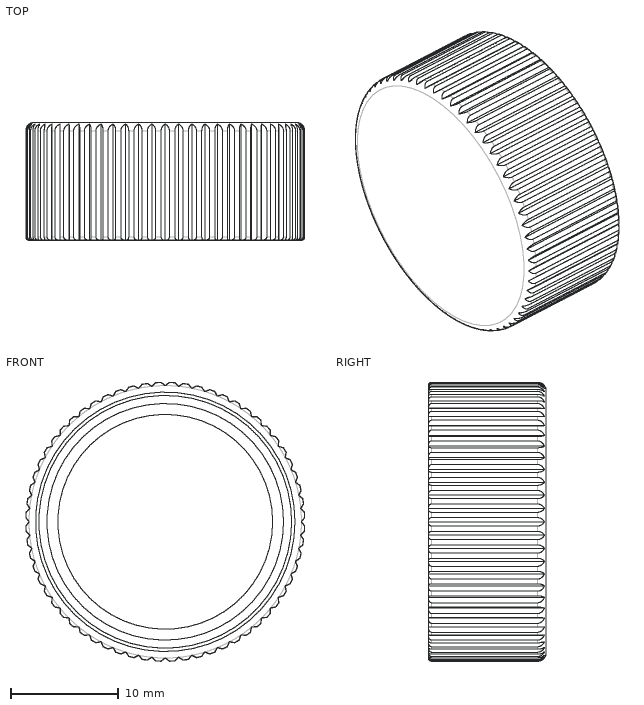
import cadquery as cq
import math

WIDTH = 26.0
HEIGHT = 11.0
TOP_FILLET = 0.8
RIM_FILLET = 0.3

GROOVE_COUNT = 64
GROOVE_HALF_WIDTH = 0.4
GROOVE_DEPTH = 0.3

MOUTH_RADIUS = 11.77
BEAD_RADIUS = 11.02
UNDERCUT_RADIUS = 12.0
RECESS_RADIUS = 10.0
MOUTH_CHAMFER = 0.3

BEAD_START = 2.6
BEAD_END = 6.6
SEAT_DEPTH = 8.5
TOP_THICKNESS = 1.0

MOUTH_Y = -HEIGHT / 2
TOP_Y = HEIGHT / 2

CORNER_DISTANCE = WIDTH / 2
OUTER_RADIUS = math.hypot(CORNER_DISTANCE, GROOVE_HALF_WIDTH)


def rounded_body():
    """Solid cylinder with a large fillet at the top and a small one at the rim."""
    cylinder = cq.Workplane("XZ", origin=(0, TOP_Y, 0)).circle(OUTER_RADIUS).extrude(HEIGHT)
    return cylinder.edges(">Y").fillet(TOP_FILLET).edges("<Y").fillet(RIM_FILLET)


def groove_cutter():
    """One triangular prism on the +X side, running the full height."""
    overshoot = 0.25
    half_width_beyond = GROOVE_HALF_WIDTH * (1 + overshoot / GROOVE_DEPTH)
    outline = [
        (CORNER_DISTANCE - GROOVE_DEPTH, 0),
        (CORNER_DISTANCE + overshoot, half_width_beyond),
        (CORNER_DISTANCE + overshoot, -half_width_beyond),
    ]
    return cq.Workplane("XZ", origin=(0, TOP_Y, 0)).polyline(outline).close().extrude(HEIGHT)


def grip_grooves():
    """All groove cutters, spaced evenly around the axis."""
    cutter = groove_cutter().val()
    step = 360 / GROOVE_COUNT
    turned = [cutter.rotate((0, 0, 0), (0, 1, 0), index * step) for index in range(GROOVE_COUNT)]
    return cq.Workplane(cq.Compound.makeCompound(turned))


def cavity():
    """Revolved inside: chamfered mouth, 45 degree snap bead, undercut, seat and recess."""
    seat_y = MOUTH_Y + SEAT_DEPTH
    bead_start_y = MOUTH_Y + BEAD_START
    bead_end_y = MOUTH_Y + BEAD_END
    lead_in = MOUTH_RADIUS - BEAD_RADIUS
    lead_out = UNDERCUT_RADIUS - BEAD_RADIUS
    recess_y = TOP_Y - TOP_THICKNESS
    half_section = [
        (0, MOUTH_Y),
        (MOUTH_RADIUS + MOUTH_CHAMFER, MOUTH_Y),
        (MOUTH_RADIUS, MOUTH_Y + MOUTH_CHAMFER),
        (MOUTH_RADIUS, bead_start_y),
        (BEAD_RADIUS, bead_start_y + lead_in),
        (BEAD_RADIUS, bead_end_y),
        (UNDERCUT_RADIUS, bead_end_y + lead_out),
        (UNDERCUT_RADIUS, seat_y),
        (RECESS_RADIUS, seat_y),
        (RECESS_RADIUS, recess_y),
        (0, recess_y),
    ]
    return cq.Workplane("XY").polyline(half_section).close().revolve(360, (0, 0), (0, 1))


result = rounded_body().cut(cavity()).cut(grip_grooves())